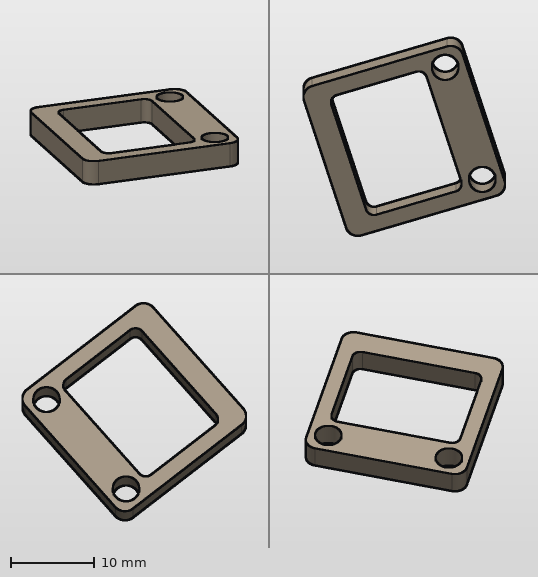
import cadquery as cq

PLATE_SIZE = 20.0
PLATE_THICKNESS = 3.0
PLATE_CORNER_RADIUS = 1.5

SIDE_RAIL_WIDTH = 2.0
FRONT_RAIL_WIDTH = 3.0
BACK_RAIL_WIDTH = 5.0
WINDOW_CORNER_RADIUS = 1.0

HOLE_DIAMETER = 3.2
HOLE_EDGE_DISTANCE = 2.5

WINDOW_WIDTH = PLATE_SIZE - 2 * SIDE_RAIL_WIDTH
WINDOW_DEPTH = PLATE_SIZE - FRONT_RAIL_WIDTH - BACK_RAIL_WIDTH
WINDOW_CENTRE_Y = (FRONT_RAIL_WIDTH - BACK_RAIL_WIDTH) / 2
HOLE_OFFSET = PLATE_SIZE / 2 - HOLE_EDGE_DISTANCE


def rounded_block(width, depth, corner_radius, centre_y=0.0):
    """Block of plate thickness with rounded vertical edges."""
    return (
        cq.Workplane("XY")
        .center(0, centre_y)
        .rect(width, depth)
        .extrude(PLATE_THICKNESS)
        .edges("|Z")
        .fillet(corner_radius)
    )


def corner_holes():
    """Cylinders that cut the two holes."""
    return (
        cq.Workplane("XY")
        .pushPoints([(side * HOLE_OFFSET, HOLE_OFFSET) for side in (-1, 1)])
        .circle(HOLE_DIAMETER / 2)
        .extrude(PLATE_THICKNESS)
    )


plate = rounded_block(PLATE_SIZE, PLATE_SIZE, PLATE_CORNER_RADIUS)
window = rounded_block(WINDOW_WIDTH, WINDOW_DEPTH, WINDOW_CORNER_RADIUS, WINDOW_CENTRE_Y)

result = plate.cut(window).cut(corner_holes())